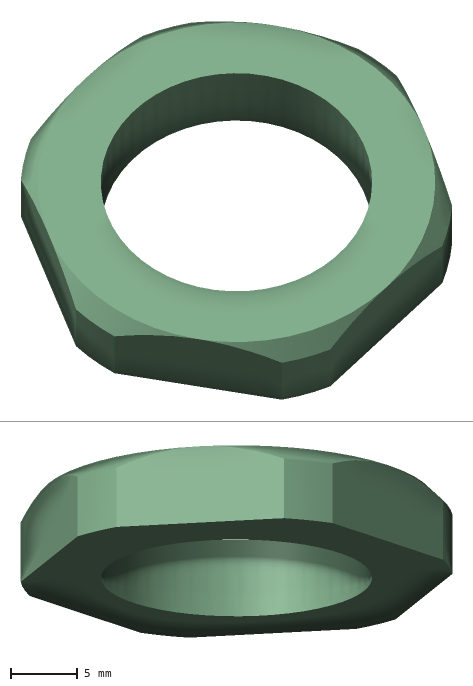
import cadquery as cq
import math

outer_diameter = 32.63
across_flats = 30.0
height = 6.0
bore_diameter = 20.45

chamfer = (outer_diameter - across_flats) / 2
across_corners = across_flats / math.cos(math.radians(30))

hexagon = cq.Workplane("XY").polygon(6, across_corners).extrude(height)

blank = cq.Workplane("XY").circle(outer_diameter / 2).extrude(height)
blank = blank.faces(">Z").edges().chamfer(chamfer)

bore = cq.Workplane("XY").circle(bore_diameter / 2).extrude(height)

result = blank.intersect(hexagon).cut(bore)